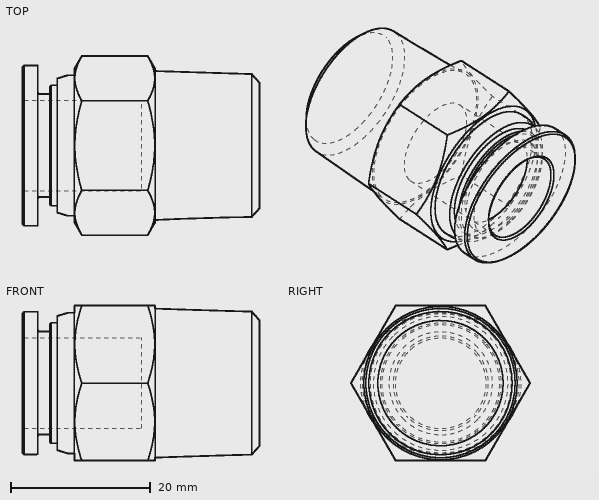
import cadquery as cq
import math

length = 34.0

flange_height = 20.47
flange_width = 23.0
flange_thickness = 2.25
flange_chamfer = 0.27
neck_diameter = 14.8
neck_fillet = 0.2
bore_diameter = 13.0
bore_chamfer = 0.3
collar_start = 3.9
collar_diameter = 17.3
collar_chamfer = 0.25
sleeve_end = 5.0

shoulder_front_diameter = 19.25
shoulder_diameter = 20.2
shoulder_cone_end = 6.53
hex_start = 7.45
hex_end = 19.05
hex_across_flats = 22.25
hex_face_diameter = 21.95
hex_chamfer_angle = 30.0
tail_root_diameter = 21.4
tail_taper = 1 / 16
tail_chamfer_length = 1.15
tail_end_diameter = 17.95
bore_depth = 17.0

hex_across_corners = hex_across_flats / math.cos(math.radians(30))


def cylinder(diameter, start, end):
    """Solid cylinder about the X axis between two X positions."""
    return cq.Workplane("YZ", origin=(start, 0, 0)).circle(diameter / 2).extrude(end - start)


def revolve_about_x(points):
    """Solid of revolution from a closed (X, radius) outline."""
    return cq.Workplane("XY").polyline(points).close().revolve(360, (0, 0), (1, 0))


def make_sleeve():
    """Oval flange, round neck and collar, with a bore and a chamfered tube mouth."""
    flange = (
        cq.Workplane("YZ")
        .ellipse(flange_width / 2, flange_height / 2)
        .extrude(flange_thickness)
        .faces("<X")
        .chamfer(flange_chamfer)
    )
    neck = cylinder(neck_diameter, flange_thickness, collar_start)
    body = flange.union(neck)
    root = cq.selectors.BoxSelector(
        (flange_thickness - neck_fillet / 2, -neck_diameter, -neck_diameter),
        (flange_thickness + neck_fillet / 2, neck_diameter, neck_diameter),
        boundingbox=True,
    )
    neck_root = body.edges(root).edges("%CIRCLE")
    body = body.newObject(neck_root.vals()).fillet(neck_fillet)
    collar = cylinder(collar_diameter, collar_start, sleeve_end).faces("<X").chamfer(collar_chamfer)
    body = body.union(collar).cut(cylinder(bore_diameter, 0, sleeve_end))
    mouth = revolve_about_x([
        (0, 0),
        (0, bore_diameter / 2 + bore_chamfer),
        (bore_chamfer, bore_diameter / 2),
        (bore_chamfer, 0),
    ])
    return body.cut(mouth).solids()


def make_hexagon():
    """Hexagon with its corners on the Y axis and conical chamfers at both ends."""
    hexagon = (
        cq.Workplane("YZ", origin=(hex_start, 0, 0))
        .polygon(6, hex_across_corners)
        .extrude(hex_end - hex_start)
    )
    face_radius = hex_face_diameter / 2
    corner_radius = hex_across_corners / 2
    chamfer_length = (corner_radius - face_radius) * math.tan(math.radians(hex_chamfer_angle))
    chamfer_envelope = revolve_about_x([
        (hex_start, 0),
        (hex_start, face_radius),
        (hex_start + chamfer_length, corner_radius),
        (hex_end - chamfer_length, corner_radius),
        (hex_end, face_radius),
        (hex_end, 0),
    ])
    return hexagon.intersect(chamfer_envelope)


def make_housing():
    """Coned shoulder, hexagon and tapered tail, with a blind bore continuing the sleeve bore."""
    front = revolve_about_x([
        (sleeve_end, 0),
        (sleeve_end, shoulder_front_diameter / 2),
        (shoulder_cone_end, shoulder_diameter / 2),
        (hex_start, shoulder_diameter / 2),
        (hex_start, 0),
    ])
    chamfer_start = length - tail_chamfer_length
    tail_small_diameter = tail_root_diameter - tail_taper * (chamfer_start - hex_end)
    tail = revolve_about_x([
        (hex_end, 0),
        (hex_end, tail_root_diameter / 2),
        (chamfer_start, tail_small_diameter / 2),
        (length, tail_end_diameter / 2),
        (length, 0),
    ])
    bore = cylinder(bore_diameter, sleeve_end, bore_depth)
    return front.union(make_hexagon()).union(tail).cut(bore).solids()


sleeve = make_sleeve()
housing = make_housing()

result = cq.Compound.makeCompound([sleeve.val(), housing.val()])